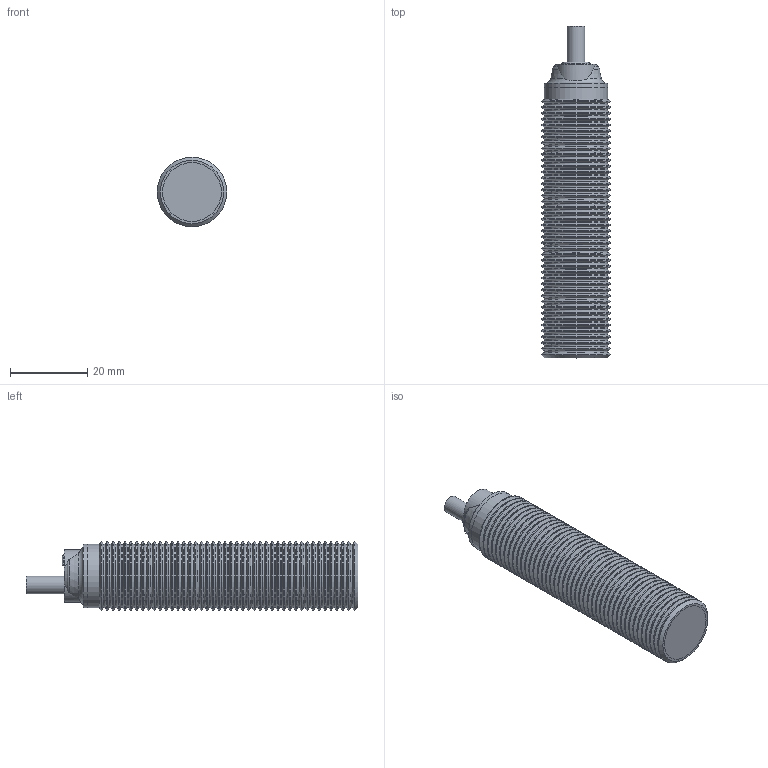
import cadquery as cq
import math

TOTAL_LENGTH = 85.91

THREAD_RADIUS = 9.0
ROOT_RADIUS = 8.2
BORE_RADIUS = 7.6
SLEEVE_LENGTH = 70.1
RIDGE_COUNT = 44
RIDGE_PITCH = 1.523
CREST_WIDTH = 0.2
FLANK_ANGLE = 28.0
RIDGE_HEIGHT = THREAD_RADIUS - ROOT_RADIUS
FLANK_LENGTH = RIDGE_HEIGHT * math.tan(math.radians(FLANK_ANGLE))
FIRST_CREST_Y = RIDGE_HEIGHT

CAP_END_Y = 71.1
NOSE_END_Y = 76.05
FLARE_END_RADIUS = 7.95
TAPER_START_RADIUS = 6.55
TAPER_START_Y = 72.4
TAPER_END_RADIUS = 6.1
TAPER_END_Y = 74.75
NOSE_BEVEL_RADIUS = 5.75
NOSE_BEVEL_Y = 75.3
NOSE_END_RADIUS = 5.35
NOSE_ROUND_BULGE = 0.06

BLOCK_HEIGHT = 13.7
BLOCK_WIDTH = 9.9
BLOCK_START_Y = CAP_END_Y

WINDOW_RADIUS = 3.85
WINDOW_ARC_Z = 1.6
WINDOW_BOTTOM_Z = 2.8
WINDOW_HEIGHT = 0.5
WINDOW_BEVEL = 0.25

CABLE_RADIUS = 2.3
CABLE_Z = -CABLE_RADIUS


def cross_section_at(y):
    """Workplane across the axis: local x is -X, local y is +Z, extrusion runs to +Y."""
    return cq.Workplane(cq.Plane(origin=(0, y, 0), xDir=(-1, 0, 0), normal=(0, 1, 0)))


def revolve_about_y(outline):
    return outline.close().revolve(360, (0, 0, 0), (0, 1, 0))


def make_sleeve():
    """Tube with evenly spaced annular ridges, the front one merging into a lead-in chamfer."""
    outline = cq.Workplane("XY").moveTo(BORE_RADIUS, 0).lineTo(ROOT_RADIUS, 0)
    for index in range(RIDGE_COUNT):
        crest_start = FIRST_CREST_Y + index * RIDGE_PITCH
        crest_end = crest_start + CREST_WIDTH
        if index > 0:
            outline = outline.lineTo(ROOT_RADIUS, crest_start - FLANK_LENGTH)
        outline = (
            outline.lineTo(THREAD_RADIUS, crest_start)
            .lineTo(THREAD_RADIUS, crest_end)
            .lineTo(ROOT_RADIUS, crest_end + FLANK_LENGTH)
        )
    outline = outline.lineTo(ROOT_RADIUS, SLEEVE_LENGTH).lineTo(BORE_RADIUS, SLEEVE_LENGTH)
    return revolve_about_y(outline)


def make_turned_core():
    """Cylinder filling the sleeve, the cap behind it and the flared, rounded nose."""
    outline = (
        cq.Workplane("XY")
        .lineTo(0, NOSE_END_Y)
        .lineTo(NOSE_END_RADIUS, NOSE_END_Y)
        .lineTo(NOSE_BEVEL_RADIUS, NOSE_BEVEL_Y)
        .sagittaArc((TAPER_END_RADIUS, TAPER_END_Y), NOSE_ROUND_BULGE)
        .lineTo(TAPER_START_RADIUS, TAPER_START_Y)
        .tangentArcPoint((FLARE_END_RADIUS, CAP_END_Y), relative=False)
        .lineTo(ROOT_RADIUS, CAP_END_Y)
        .lineTo(ROOT_RADIUS, SLEEVE_LENGTH)
        .lineTo(BORE_RADIUS, SLEEVE_LENGTH)
        .lineTo(BORE_RADIUS, 0)
    )
    return revolve_about_y(outline)


def make_block():
    return (
        cross_section_at(BLOCK_START_Y)
        .slot2D(BLOCK_HEIGHT, BLOCK_WIDTH, 90)
        .extrude(NOSE_END_Y - BLOCK_START_Y)
    )


def make_window():
    """Segment of a bevelled disc, cut off straight along its lower side."""
    disc = (
        cross_section_at(NOSE_END_Y)
        .center(0, WINDOW_ARC_Z)
        .circle(WINDOW_RADIUS)
        .extrude(WINDOW_HEIGHT)
        .faces(">Y")
        .chamfer(WINDOW_BEVEL)
    )
    upper_part = (
        cross_section_at(NOSE_END_Y)
        .center(0, WINDOW_BOTTOM_Z)
        .rect(2 * WINDOW_RADIUS, 2 * WINDOW_RADIUS)
        .extrude(WINDOW_HEIGHT)
        .translate((0, 0, WINDOW_RADIUS))
    )
    return disc.intersect(upper_part)


def make_cable():
    return (
        cross_section_at(NOSE_END_Y)
        .center(0, CABLE_Z)
        .circle(CABLE_RADIUS)
        .extrude(TOTAL_LENGTH - NOSE_END_Y)
    )


def make_core():
    return make_turned_core().union(make_block()).union(make_window()).union(make_cable())


sleeve = make_sleeve()
core = make_core()

result = cq.Compound.makeCompound([sleeve.val(), *core.solids().vals()])